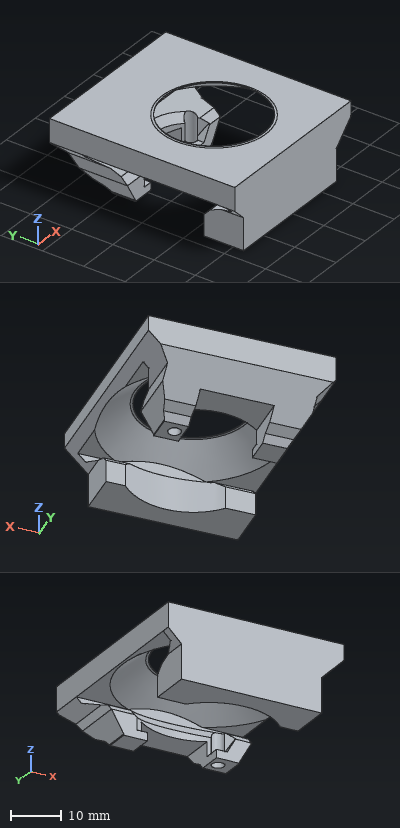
import cadquery as cq
import math

width = 40.0
depth = 45.0
height = 16.3

plate_bottom = 10.7
rail_front = 2.05
rail_back = 37.0
foot_left = 3.0
foot_right = 34.95
foot_shoulder = 7.7
waist_z = 5.1
taper_angle = math.radians(30)
taper_end_z = 0.25
jaw_taper = (waist_z - taper_end_z) * math.tan(taper_angle)

opening_x = 20.15
opening_y = 19.25
opening_radius = 24.0 / 2
rim_thickness = 0.15
rim_inner_radius = 12.55
seat_radius = 14.4
seat_chamfer = 1.45
roof_radius = 19.6

jaw_face_y = 28.15
jaw_knee_y = 29.7
jaw_knee_z = 6.65
jaw_hook_z = 9.6
recess_floor = 1.85
recess_left = 6.75
recess_right = 31.25
gap_left = 11.15
gap_right = 26.9

pin_diameter = 2.7
pin_x = 28.9
pin_y = 31.05


def extrude_along_y(points, start, end):
    """Extrude an XZ outline from Y = start to Y = end."""
    return cq.Workplane("XZ", origin=(0, start, 0)).polyline(points).close().extrude(start - end)


def make_clamp():
    """Plate with a front foot and a hooked rear jaw."""
    side_outline = [
        (0, 0),
        (9.65, 0),
        (9.65, waist_z),
        (8.05, 6.65),
        (rail_front, 9.05),
        (rail_front, plate_bottom),
        (rail_back, plate_bottom),
        (rail_back, jaw_hook_z),
        (jaw_knee_y, jaw_knee_z),
        (jaw_face_y, waist_z),
        (jaw_face_y, 0),
        (33.75, 0),
        (35.15, 1.45),
        (37.5, 2.6),
        (depth, 10.12),
        (depth, height),
        (0, height),
    ]
    body = cq.Workplane("YZ").polyline(side_outline).close().extrude(width)
    front_outline = [
        (foot_left, 0),
        (foot_right, 0),
        (foot_right, foot_shoulder),
        (width, foot_shoulder + width - foot_right),
        (width, height),
        (0, height),
        (0, plate_bottom),
        (foot_left, foot_shoulder),
    ]
    return body.intersect(extrude_along_y(front_outline, 0, depth))


def make_side_taper(side_x, inward):
    """Wedge that narrows the rear jaw towards its bottom; inward is +1 or -1 along X."""
    tip_x = side_x + inward * jaw_taper
    wedge = [(side_x, waist_z), (side_x, 0), (tip_x, 0), (tip_x, taper_end_z)]
    return extrude_along_y(wedge, jaw_face_y, depth)


def make_seat(bottom, top):
    return cq.Workplane(origin=(opening_x, opening_y, bottom)).circle(seat_radius).extrude(top - bottom)


def make_opening():
    """Rim opening above a shallow conical roof, confined between the foot and the rear jaw."""
    roof_top = height - rim_thickness
    outline = [
        (0, plate_bottom),
        (roof_radius, plate_bottom),
        (rim_inner_radius, roof_top),
        (opening_radius, roof_top),
        (opening_radius, height),
        (0, height),
    ]
    opening = cq.Workplane("XZ").polyline(outline).close().revolve(360, (0, 0), (0, 1))
    channel = cq.Workplane().box(width, rail_back - rail_front, height, centered=False)
    return opening.translate((opening_x, opening_y, 0)).intersect(channel.translate((0, rail_front, 0)))


def make_seat_chamfer():
    """Oblique cone that bevels the seat edge along the rear jaw's sloping top, up to the pin hole."""
    tilt = math.atan2(jaw_hook_z - jaw_knee_z, rail_back - jaw_knee_y)
    axis_z = jaw_knee_z + (opening_y - jaw_knee_y) * math.tan(tilt)

    def make_tilted_ellipse(radius, center_z):
        plane = cq.Plane(
            origin=(opening_x, opening_y, center_z),
            xDir=(0, math.cos(tilt), math.sin(tilt)),
            normal=(0, -math.sin(tilt), math.cos(tilt)),
        )
        return cq.Workplane(plane).ellipse(radius / math.cos(tilt), radius).val()

    lower = make_tilted_ellipse(seat_radius, axis_z - seat_chamfer)
    upper = make_tilted_ellipse(seat_radius + seat_chamfer, axis_z)
    cone = cq.Workplane(cq.Solid.makeLoft([lower, upper], True))
    rear_part = cq.Workplane().box(pin_x, depth - jaw_face_y, height, centered=False)
    return cone.intersect(rear_part.translate((0, jaw_face_y, 0)))


def make_foot_relief():
    """Seat continued down through the front foot."""
    front_half = cq.Workplane().box(width, opening_y, waist_z, centered=False)
    return make_seat(0, waist_z).intersect(front_half)


def make_jaw_recess():
    """Seat continued down into the rear jaw, between walls parallel to its tapered sides."""
    inset = (waist_z - recess_floor) * math.tan(taper_angle)
    outline = [
        (recess_left, waist_z),
        (recess_right, waist_z),
        (recess_right - inset, recess_floor),
        (recess_left + inset, recess_floor),
    ]
    walls = extrude_along_y(outline, jaw_face_y, depth)
    return walls.intersect(make_seat(0, waist_z))


def make_jaw_gap():
    """Gap that splits the lower part of the rear jaw."""
    return cq.Workplane().box(
        gap_right - gap_left, depth - jaw_face_y, waist_z, centered=False
    ).translate((gap_left, jaw_face_y, 0))


def make_pin_hole():
    return cq.Workplane().center(pin_x, pin_y).circle(pin_diameter / 2).extrude(plate_bottom)


result = (
    make_clamp()
    .cut(make_seat(waist_z, plate_bottom))
    .cut(make_seat_chamfer())
    .cut(make_opening())
    .cut(make_side_taper(foot_left, 1))
    .cut(make_side_taper(foot_right, -1))
    .cut(make_foot_relief())
    .cut(make_jaw_recess())
    .cut(make_jaw_gap())
    .cut(make_pin_hole())
)